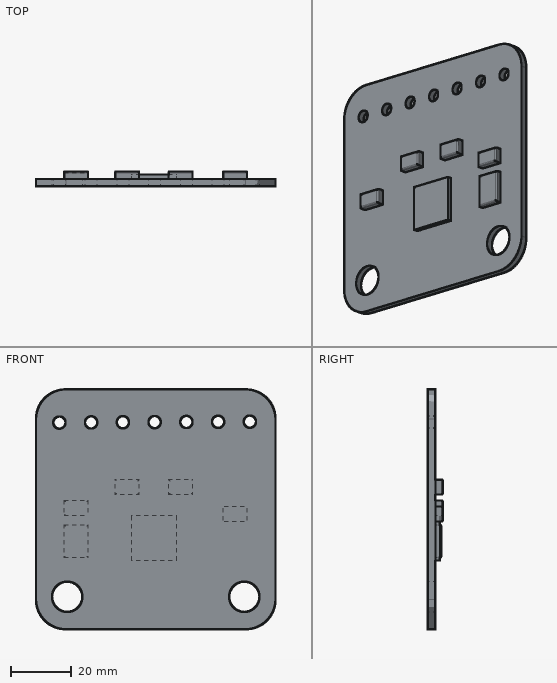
import cadquery as cq

BOARD_WIDTH = 79.77
BOARD_HEIGHT = 79.92
BOARD_THICKNESS = 2.5
CORNER_RADIUS = 10.0

MOUNT_HOLE_DIAMETER = 10.0
MOUNT_HOLE_X = 29.45
MOUNT_HOLE_Z = -29.1

PIN_HOLE_DIAMETER = 4.0
PIN_COUNT = 7
PIN_PITCH = 10.56
FIRST_PIN_X = -32.05
FIRST_PIN_Z = 28.85
PIN_ROW_RISE = 0.05

LAMP_WIDTH = 8.0
LAMP_LENGTH = 5.0
LAMP_HEIGHT = 2.5
LAMP_EDGE_RADIUS = 0.5
LAMP_CENTRES = [(-26.5, 0.45), (-9.5, 7.4), (8.3, 7.4), (26.4, -1.6)]

FLAT_CHIP_SIDE = 15.1
FLAT_CHIP_HEIGHT = 1.5
FLAT_CHIP_CENTRE = (-0.6, -9.55)

ROUNDED_CHIP_WIDTH = LAMP_WIDTH
ROUNDED_CHIP_LENGTH = 10.8
ROUNDED_CHIP_HEIGHT = 2.0
ROUNDED_CHIP_EDGE_RADIUS = LAMP_EDGE_RADIUS
ROUNDED_CHIP_CENTRE = (LAMP_CENTRES[0][0], -10.6)


def block_on_xz(width, length, height, centre=(0.0, 0.0), base_y=0.0):
    """Box of width along X and length along Z, rising by height towards +Y from base_y."""
    x, z = centre
    box = cq.Workplane("XY").box(width, height, length, centered=(True, False, True))
    return box.translate((x, base_y, z))


def component(width, length, height, centre, rounding=0.0):
    """Block standing on the board's +Y face, with an optional rounding of its top edges."""
    block = block_on_xz(width, length, height, centre, BOARD_THICKNESS)
    if rounding > 0:
        block = block.faces(">Y").edges().fillet(rounding)
    return block


def through_holes(diameter, centres):
    """Cylinders along Y that pass through the board at the given (x, z) centres."""
    return cq.Workplane("XZ").pushPoints(centres).circle(diameter / 2).extrude(-BOARD_THICKNESS)


def make_board():
    board = block_on_xz(BOARD_WIDTH, BOARD_HEIGHT, BOARD_THICKNESS)
    board = board.edges("|Y").fillet(CORNER_RADIUS)

    mount_centres = [(side * MOUNT_HOLE_X, MOUNT_HOLE_Z) for side in (-1, 1)]
    board = board.cut(through_holes(MOUNT_HOLE_DIAMETER, mount_centres))

    pin_centres = [
        (FIRST_PIN_X + i * PIN_PITCH, FIRST_PIN_Z + i * PIN_ROW_RISE)
        for i in range(PIN_COUNT)
    ]
    return board.cut(through_holes(PIN_HOLE_DIAMETER, pin_centres))


def make_components():
    parts = [
        component(LAMP_WIDTH, LAMP_LENGTH, LAMP_HEIGHT, centre, LAMP_EDGE_RADIUS)
        for centre in LAMP_CENTRES
    ]
    parts.append(component(FLAT_CHIP_SIDE, FLAT_CHIP_SIDE, FLAT_CHIP_HEIGHT, FLAT_CHIP_CENTRE))
    parts.append(
        component(
            ROUNDED_CHIP_WIDTH,
            ROUNDED_CHIP_LENGTH,
            ROUNDED_CHIP_HEIGHT,
            ROUNDED_CHIP_CENTRE,
            ROUNDED_CHIP_EDGE_RADIUS,
        )
    )
    return parts


result = make_board()
for part in make_components():
    result = result.union(part)